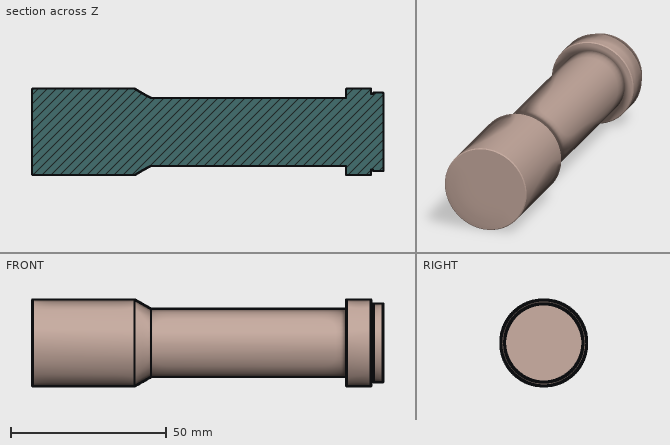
import cadquery as cq

head_length = 33.0
shaft_start = 38.3
collar_start = 101.0
collar_length = 8.2
neck_length = 0.5
overall_length = 113.1

head_diameter = 28.0
shaft_diameter = 22.0
collar_diameter = 28.0
neck_diameter = 24.5
end_ring_diameter = 25.5

edge_chamfer = 0.3

collar_end = collar_start + collar_length
end_ring_start = collar_end + neck_length


def revolve_about_x(half_profile):
    """Turn a closed (x, radius) outline around the X axis."""
    return cq.Workplane("XZ").polyline(half_profile).close().revolve(360, (0, 0, 0), (1, 0, 0))


def make_section(start, end, start_diameter, end_diameter):
    """Straight or tapered round section between two stations."""
    return revolve_about_x([
        (start, 0),
        (start, start_diameter / 2),
        (end, end_diameter / 2),
        (end, 0),
    ])


def make_cylinder(start, end, diameter):
    """Round section of constant diameter."""
    return make_section(start, end, diameter, diameter)


def make_chamfered_ring(start, end, diameter):
    """Disc with both rims chamfered."""
    return make_cylinder(start, end, diameter).edges("%CIRCLE").chamfer(edge_chamfer)


head = make_cylinder(0, head_length, head_diameter).faces("<X").chamfer(edge_chamfer)
taper = make_section(head_length, shaft_start, head_diameter, shaft_diameter)
shaft = make_cylinder(shaft_start, collar_start, shaft_diameter)
collar = make_chamfered_ring(collar_start, collar_end, collar_diameter)
neck = make_cylinder(collar_end, end_ring_start, neck_diameter)
end_ring = make_chamfered_ring(end_ring_start, overall_length, end_ring_diameter)

result = head.union(taper).union(shaft).union(collar).union(neck).union(end_ring)